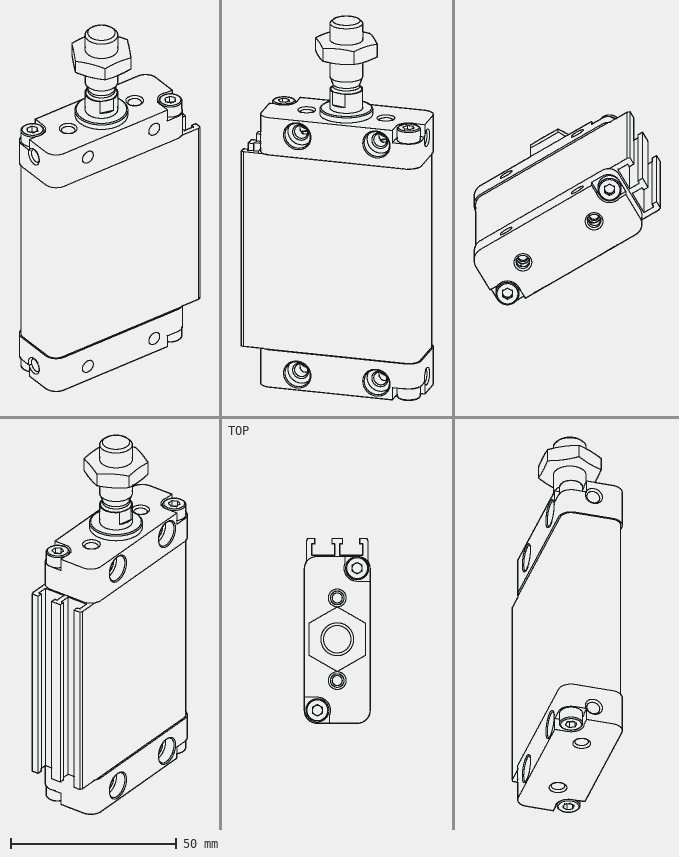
import cadquery as cq
import math


TOTAL_HEIGHT = 117.0
HOUSING_HEIGHT = 86.9
COVER_HEIGHT = 12.0
BARREL_TOP = HOUSING_HEIGHT - COVER_HEIGHT

COVER_WIDTH = 20.0
COVER_FRONT = -25.5
COVER_BACK = 25.0
COVER_CORNER_RADIUS = 4.0
COVER_BACK_CORNER_RADIUS = 3.7
COLLAR_DIAMETER = 16.0
COLLAR_HEIGHT = 2.0
COLLAR_CHAMFER = 0.4

SCREW_X = COVER_WIDTH / 2 - COVER_CORNER_RADIUS
SCREW_Y = -COVER_FRONT - COVER_CORNER_RADIUS
SCREW_HEAD_DIAMETER = 7.0
SCREW_HEAD_CHAMFER = 0.4
POCKET_RADIUS = 4.0
POCKET_WALL_X = 3.7
POCKET_DEPTH = 4.0
SOCKET_ACROSS_FLATS = 3.0
SOCKET_DEPTH = 2.0
SOCKET_CONE_HEIGHT = 0.8

HOLE_Y = 12.5
HOLE_DEPTH_BELOW_FACE = 5.0
CROSS_BORE = 4.1
CROSS_BORE_MOUTH = 5.0
COUNTERBORE = 8.0
COUNTERBORE_MOUTH = 8.7
COUNTERBORE_DEPTH = 3.5
TAPPED_BORE = CROSS_BORE
TAPPED_MOUTH = 5.4
TAPPED_DEPTH = 7.5
TAPPED_TIP_BORE = 3.0
TAPPED_TIP_DEPTH = 9.4

BARREL_WIDTH = 19.0
BARREL_FRONT = -25.0
BARREL_BACK = 25.5
BARREL_CORNER_RADIUS = 3.4

RAIL_BACK = 30.5
SIDE_RAIL_OUTER_X = 9.4
SIDE_RAIL_INNER_X = 7.7
SIDE_RAIL_LIP_X = 6.8
CENTRE_STEM_X = 0.8
CENTRE_LIP_X = 1.6
LIP_THICKNESS = 1.6
RAIL_BLEND_START = 23.0
RAIL_BLEND_END = 23.8
RAIL_TIP_TAPER_X = 0.4
RAIL_TIP_TAPER_Y = 0.8

ROD_DIAMETER = 10.0
ROD_TIP_CHAMFER = 0.8
NECK_DIAMETER = 8.2
THREAD_START = 99.0
NECK_TOP = 96.6
NECK_BOTTOM = 95.8
SHANK_TOP = 95.0
SHANK_TOP_DIAMETER = 9.4
FLAT_BOTTOM = 90.8
FLATS_ACROSS = 8.9
FLATS_ANGLE = -15.0

NUT_ACROSS_FLATS = 17.0
NUT_BOTTOM = 105.9
NUT_HEIGHT = 5.0
NUT_CHAMFER_DIAMETER = 16.5
NUT_CHAMFER_DROP = 0.5


def countersunk_bore(origin, direction, bore, mouth, depth):
    """Cutter for a bore running from a face inwards, with a 45 degree chamfer at its mouth."""
    start = cq.Vector(*origin)
    axis = cq.Vector(*direction)
    chamfer = (mouth - bore) / 2
    cylinder = cq.Solid.makeCylinder(bore / 2, depth, start, axis)
    cone = cq.Solid.makeCone(mouth / 2, bore / 2, chamfer, start, axis)
    return cq.Workplane(cylinder).union(cq.Workplane(cone))


def corner_pocket(side):
    """Pocket cutter around the screw at the corner (side * X, side * Y)."""
    reach = 2 * COVER_CORNER_RADIUS
    floor = COVER_HEIGHT - POCKET_DEPTH
    centre = cq.Workplane("XY", origin=(side * SCREW_X, side * SCREW_Y, floor))
    round_part = centre.circle(POCKET_RADIUS).extrude(POCKET_DEPTH)
    toward_side = (
        centre.moveTo(side * reach / 2, (reach - POCKET_RADIUS) / 2 * side)
        .rect(reach, reach + POCKET_RADIUS)
        .extrude(POCKET_DEPTH)
    )
    toward_end = (
        centre.moveTo((reach - POCKET_WALL_X) / 2 * side, side * reach / 2)
        .rect(reach + POCKET_WALL_X, reach)
        .extrude(POCKET_DEPTH)
    )
    return round_part.union(toward_side).union(toward_end)


def screw_head(side):
    """Round screw head standing on the pocket floor, with a hexagon socket that ends in a cone."""
    floor = COVER_HEIGHT - POCKET_DEPTH
    head = (
        cq.Workplane("XY", origin=(side * SCREW_X, side * SCREW_Y, floor))
        .circle(SCREW_HEAD_DIAMETER / 2)
        .extrude(POCKET_DEPTH)
        .faces(">Z")
        .chamfer(SCREW_HEAD_CHAMFER)
    )
    socket = (
        cq.Workplane("XY", origin=(side * SCREW_X, side * SCREW_Y, COVER_HEIGHT))
        .transformed(rotate=(0, 0, 30))
        .polygon(6, 2 * SOCKET_ACROSS_FLATS / math.sqrt(3))
        .extrude(-SOCKET_DEPTH)
    )
    cone_base = cq.Vector(side * SCREW_X, side * SCREW_Y, COVER_HEIGHT - SOCKET_DEPTH)
    cone = cq.Solid.makeCone(
        SOCKET_ACROSS_FLATS / 2, 0, SOCKET_CONE_HEIGHT, cone_base, cq.Vector(0, 0, -1)
    )
    return head.cut(socket).cut(cq.Workplane(cone))


def cover_holes():
    """Cutters for the cross bores, the tapped end holes and the front port."""
    hole_z = COVER_HEIGHT - HOLE_DEPTH_BELOW_FACE
    left = -COVER_WIDTH / 2
    floor_x = left + COUNTERBORE_DEPTH
    cutters = []
    for y in (-HOLE_Y, HOLE_Y):
        counterbore = countersunk_bore(
            (left, y, hole_z), (1, 0, 0), COUNTERBORE, COUNTERBORE_MOUTH, COUNTERBORE_DEPTH
        )
        cross_bore = countersunk_bore(
            (floor_x, y, hole_z), (1, 0, 0), CROSS_BORE, CROSS_BORE_MOUTH, COVER_WIDTH
        )
        end_hole = countersunk_bore(
            (0, y, COVER_HEIGHT), (0, 0, -1), TAPPED_BORE, TAPPED_MOUTH, TAPPED_DEPTH
        )
        end_hole_tip = cq.Workplane(
            cq.Solid.makeCylinder(
                TAPPED_TIP_BORE / 2, TAPPED_TIP_DEPTH, cq.Vector(0, y, COVER_HEIGHT), cq.Vector(0, 0, -1)
            )
        )
        cutters += [counterbore, cross_bore, end_hole, end_hole_tip]
    port_depth = -HOLE_Y - COVER_FRONT
    cutters.append(
        countersunk_bore((0, COVER_FRONT, hole_z), (0, 1, 0), TAPPED_BORE, TAPPED_MOUTH, port_depth)
    )
    return cutters


def make_cover():
    """End cover with its outer face up, resting on Z = 0."""
    cover = cq.Workplane("XY").box(
        COVER_WIDTH, COVER_BACK - COVER_FRONT, COVER_HEIGHT, centered=(True, False, False)
    )
    cover = cover.translate((0, COVER_FRONT, 0))
    cover = cover.edges("|Z and <Y").fillet(COVER_CORNER_RADIUS)
    cover = cover.edges("|Z and >Y").fillet(COVER_BACK_CORNER_RADIUS)
    for cutter in cover_holes():
        cover = cover.cut(cutter)
    for side in (-1, 1):
        cover = cover.cut(corner_pocket(side)).union(screw_head(side))
    return cover


def make_rod_cover():
    """Upper cover: adds the collar and the hole that the rod runs in."""
    collar = (
        cq.Workplane("XY", origin=(0, 0, COVER_HEIGHT))
        .circle(COLLAR_DIAMETER / 2)
        .extrude(COLLAR_HEIGHT)
        .faces(">Z")
        .chamfer(COLLAR_CHAMFER)
    )
    rod_hole = cq.Workplane("XY").circle(ROD_DIAMETER / 2).extrude(COVER_HEIGHT + COLLAR_HEIGHT)
    return make_cover().union(collar).cut(rod_hole).translate((0, 0, BARREL_TOP))


def make_head_cover():
    """Lower cover: the plain cover turned over."""
    return make_cover().mirror("XY").translate((0, 0, COVER_HEIGHT))


def side_rail():
    """Hooked rail along the -X side, blended into the barrel wall."""
    lip_front = RAIL_BACK - LIP_THICKNESS
    outline = [
        (-BARREL_WIDTH / 2, RAIL_BLEND_START),
        (-SIDE_RAIL_OUTER_X, RAIL_BLEND_END),
        (-SIDE_RAIL_OUTER_X, RAIL_BACK - RAIL_TIP_TAPER_Y),
        (-SIDE_RAIL_OUTER_X + RAIL_TIP_TAPER_X, RAIL_BACK),
        (-SIDE_RAIL_LIP_X, RAIL_BACK),
        (-SIDE_RAIL_LIP_X, lip_front),
        (-SIDE_RAIL_INNER_X, lip_front),
        (-SIDE_RAIL_INNER_X, RAIL_BLEND_START),
    ]
    return cq.Workplane("XY").polyline(outline).close().extrude(BARREL_TOP - COVER_HEIGHT)


def centre_rail():
    """T-shaped rail in the middle of the barrel back."""
    length = BARREL_TOP - COVER_HEIGHT
    stem = cq.Workplane("XY").box(
        2 * CENTRE_STEM_X, RAIL_BACK - BARREL_BACK, length, centered=(True, False, False)
    )
    lip = cq.Workplane("XY").box(2 * CENTRE_LIP_X, LIP_THICKNESS, length, centered=(True, False, False))
    return stem.translate((0, BARREL_BACK, 0)).union(lip.translate((0, RAIL_BACK - LIP_THICKNESS, 0)))


def make_barrel():
    """Barrel profile with rounded front edges and three sensor rails on its back."""
    length = BARREL_TOP - COVER_HEIGHT
    block = cq.Workplane("XY").box(
        BARREL_WIDTH, RAIL_BLEND_START - BARREL_FRONT, length, centered=(True, False, False)
    )
    block = block.translate((0, BARREL_FRONT, 0)).edges("|Z and <Y").fillet(BARREL_CORNER_RADIUS)
    back = cq.Workplane("XY").box(
        2 * SIDE_RAIL_INNER_X, BARREL_BACK - RAIL_BLEND_START, length, centered=(True, False, False)
    )
    left_rail = side_rail()
    barrel = block.union(back.translate((0, RAIL_BLEND_START, 0)))
    barrel = barrel.union(left_rail).union(left_rail.mirror("YZ")).union(centre_rail())
    return barrel.translate((0, 0, COVER_HEIGHT))


def make_rod():
    """Turned rod with a threaded end, a relief neck and two wrench flats."""
    radius = ROD_DIAMETER / 2
    neck = NECK_DIAMETER / 2
    half_section = [
        (0, BARREL_TOP),
        (radius, BARREL_TOP),
        (radius, SHANK_TOP),
        (SHANK_TOP_DIAMETER / 2, SHANK_TOP),
        (neck, NECK_BOTTOM),
        (neck, NECK_TOP),
        (radius, THREAD_START),
        (radius, TOTAL_HEIGHT - ROD_TIP_CHAMFER),
        (radius - ROD_TIP_CHAMFER, TOTAL_HEIGHT),
        (0, TOTAL_HEIGHT),
    ]
    rod = cq.Workplane("XZ").polyline(half_section).close().revolve(360, (0, 0, 0), (0, 1, 0))
    for side in (-1, 1):
        flat = (
            cq.Workplane("XY", origin=(0, 0, FLAT_BOTTOM))
            .center(side * (FLATS_ACROSS + ROD_DIAMETER) / 2, 0)
            .rect(ROD_DIAMETER, ROD_DIAMETER)
            .extrude(SHANK_TOP - FLAT_BOTTOM)
            .rotate((0, 0, 0), (0, 0, 1), FLATS_ANGLE)
        )
        rod = rod.cut(flat)
    return rod


def make_nut():
    """Hexagon nut with two flats facing +/-X and its corners chamfered at both ends."""
    corner_radius = NUT_ACROSS_FLATS / math.sqrt(3)
    chamfer_radius = NUT_CHAMFER_DIAMETER / 2
    hexagon = cq.Workplane("XY").polygon(6, 2 * corner_radius).extrude(NUT_HEIGHT)
    hexagon = hexagon.rotate((0, 0, 0), (0, 0, 1), 30)
    half_section = [
        (ROD_DIAMETER / 2, 0),
        (chamfer_radius, 0),
        (corner_radius, NUT_CHAMFER_DROP),
        (corner_radius, NUT_HEIGHT - NUT_CHAMFER_DROP),
        (chamfer_radius, NUT_HEIGHT),
        (ROD_DIAMETER / 2, NUT_HEIGHT),
    ]
    envelope = cq.Workplane("XZ").polyline(half_section).close().revolve(360, (0, 0, 0), (0, 1, 0))
    return hexagon.intersect(envelope).translate((0, 0, NUT_BOTTOM))


rod_cover = make_rod_cover()
head_cover = make_head_cover()
barrel = make_barrel()
rod = make_rod()
nut = make_nut()

result = cq.Compound.makeCompound(
    [rod_cover.val(), head_cover.val(), barrel.val(), rod.val(), nut.val()]
)